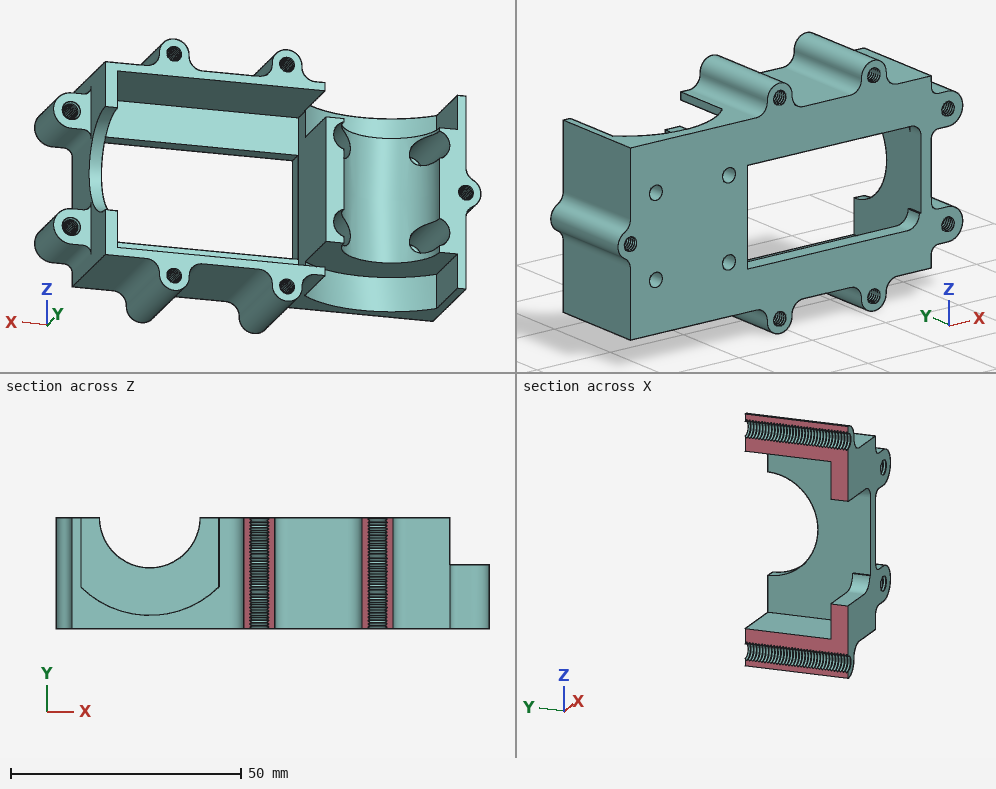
import cadquery as cq


length = 94.1
depth = 24.2
total_height = 57.4
boss_radius = 3.4
block_left = boss_radius
block_right = 85.5
block_height = 44.0
block_top = block_height / 2

boss_fillet = 3.0
boss_xs = (44.1, 69.8)
boss_z = total_height / 2 - boss_radius

thread_minor = 3.3
thread_major = 4.1
thread_count = 34

lug_radius = 4.0
lug_x = length - lug_radius
lug_zs = (13.55, -12.9)
lug_depth = 13.9
lug_fillet = 1.9

side_wall = 1.9
front_wall = 4.0
hollow_left = 35.3
hollow_right = 82.7

window_left = 35.4
window_top = 11.6
window_bottom = -12.1
window_top_fillet = 2.8
window_bottom_fillet = 3.3
window_ledge = 0.5

bore_x = 20.3
bore_radius = 10.9
slot_radius = 21.3
slot_left = 5.4
slot_right = 35.5
ledge_z = 14.2

mount_hole = 3.5
mount_head = 6.5
mount_pitch = 19.95
mount_z = 0.4
mount_floor = front_wall

notch_radius = 11.8


def box(x, y, z):
    """Box spanning the given (low, high) ranges."""
    return (
        cq.Workplane("XY")
        .box(x[1] - x[0], y[1] - y[0], z[1] - z[0], centered=False)
        .translate((x[0], y[0], z[0]))
    )


def rod_y(x, z, radius, start, end):
    """Cylinder along Y from start to end."""
    base = cq.Vector(x, start, z)
    return cq.Workplane(cq.Solid.makeCylinder(radius, end - start, base, cq.Vector(0, 1, 0)))


def fillet_along_y(body, x, z, radius, y):
    """Round the edge parallel to Y whose middle is at (x, y, z)."""
    return body.edges(cq.selectors.NearestToPointSelector((x, y, z))).fillet(radius)


def make_block():
    return box((block_left, block_right), (0, depth), (-block_top, block_top))


def add_boss(body, x, side):
    """Boss above (side = 1) or below (side = -1) the block."""
    z = side * boss_z
    stem = box((x - boss_radius, x + boss_radius), (0, depth), (min(z, 0), max(z, 0)))
    body = body.union(stem).union(rod_y(x, z, boss_radius, 0, depth))
    for edge_x in (x - boss_radius, x + boss_radius):
        body = fillet_along_y(body, edge_x, side * block_top, boss_fillet, depth / 2)
    return body


def add_left_boss(body):
    body = body.union(rod_y(block_left, 0, boss_radius, 0, depth))
    for edge_z in (-boss_radius, boss_radius):
        body = fillet_along_y(body, block_left, edge_z, boss_fillet, depth / 2)
    return body


def add_lug(body, z):
    stem = box((hollow_right, lug_x), (0, lug_depth), (z - lug_radius, z + lug_radius))
    body = body.union(stem).union(rod_y(lug_x, z, lug_radius, 0, lug_depth))
    for edge_z in (z - lug_radius, z + lug_radius):
        body = fillet_along_y(body, block_right, edge_z, lug_fillet, lug_depth / 2)
    return body


def make_hollow():
    inner_top = block_top - side_wall
    return box((hollow_left, hollow_right), (front_wall, depth), (-inner_top, inner_top))


def make_window():
    window = box((window_left, hollow_right), (0, front_wall), (window_bottom, window_top))
    window = fillet_along_y(window, hollow_right, window_top, window_top_fillet, front_wall / 2)
    arc_x = hollow_right - window_ledge - window_bottom_fillet
    arc_z = window_bottom + window_bottom_fillet
    corner = box((arc_x, hollow_right), (0, front_wall), (window_bottom, arc_z))
    corner = corner.cut(rod_y(arc_x, arc_z, window_bottom_fillet, 0, front_wall))
    return window.cut(corner)


def make_bore():
    return cq.Workplane("XY").center(bore_x, depth).circle(bore_radius).extrude(block_top, both=True)


def make_slots():
    """Round slots above and below the motor block, cut off flat at both sides."""
    disc = cq.Workplane("XY").center(bore_x, depth).circle(slot_radius).extrude(block_top, both=True)
    upper = box((slot_left, slot_right), (0, depth), (ledge_z, block_top))
    lower = upper.mirror("XY")
    return disc.intersect(upper.union(lower))


def make_notch():
    return (
        cq.Workplane("YZ", origin=(hollow_right, depth, 0))
        .circle(notch_radius)
        .extrude(block_right - hollow_right)
    )


def cut_mount_holes(body):
    for dx in (-mount_pitch / 2, mount_pitch / 2):
        for z in (mount_z - mount_pitch / 2, mount_z + mount_pitch / 2):
            body = body.cut(rod_y(bore_x + dx, z, mount_hole / 2, 0, depth))
            body = body.cut(rod_y(bore_x + dx, z, mount_head / 2, mount_floor, depth))
    return body


def make_thread():
    """Tapped hole along Y through the full depth, its thread simplified to a row of V grooves."""
    pitch = depth / thread_count
    outline = [(0, 0), (thread_minor / 2, 0)]
    for turn in range(thread_count):
        outline.append((thread_major / 2, (turn + 0.5) * pitch))
        outline.append((thread_minor / 2, (turn + 1) * pitch))
    outline.append((0, depth))
    return cq.Workplane("XY").polyline(outline).close().revolve(360, (0, 0, 0), (0, 1, 0))


def cut_threads(body):
    places = [(block_left, 0)]
    places += [(x, side * boss_z) for x in boss_xs for side in (1, -1)]
    places += [(lug_x, z) for z in lug_zs]
    thread = make_thread()
    for x, z in places:
        body = body.cut(thread.translate((x, 0, z)))
    return body


body = make_block()
for boss_x in boss_xs:
    for boss_side in (1, -1):
        body = add_boss(body, boss_x, boss_side)
body = add_left_boss(body)
for lug_z in lug_zs:
    body = add_lug(body, lug_z)

for cutter in (make_hollow(), make_window(), make_bore(), make_slots(), make_notch()):
    body = body.cut(cutter)
body = cut_mount_holes(body)
result = cut_threads(body)